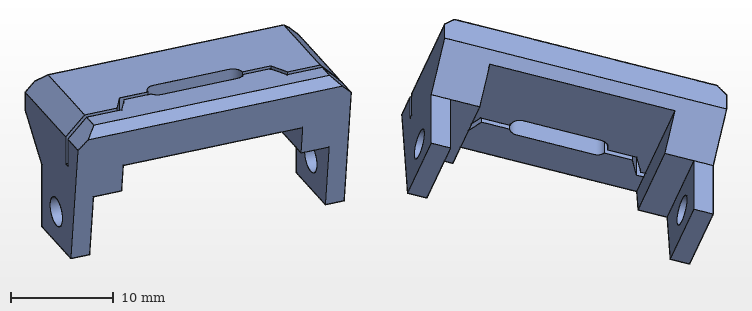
import cadquery as cq
import math

length = 29.0
width = 12.93
height = 14.88

edge_chamfer = 1.0
end_chamfer = 2.0
left_face_bottom = height - 4.0
ear_left = 4.0
ear_right = 11.08
ear_top = left_face_bottom - ear_left

plate_thickness = 5.0
block_length = 5.0
ear_thickness = 2.0
hole_diameter = 3.0
hole_x = (ear_left + ear_right) / 2
hole_z = 3.42

slot_width = 2.0
slot_length = 10.0
slot_x = 8.05
slit_width = 0.5
slit_inner_left = slot_x
slit_outer_left = 9.83
jog_start = 5.45
jog_angle = math.radians(30)


def make_body():
    """Extrude the side profile along the full length."""
    corner_z = height - edge_chamfer
    taper = (width - ear_right) / corner_z
    top_right = width + taper * edge_chamfer - edge_chamfer
    profile = [
        (ear_left, 0),
        (ear_right, 0),
        (width, corner_z),
        (top_right, height),
        (edge_chamfer, height),
        (0, corner_z),
        (0, left_face_bottom),
        (ear_left, ear_top),
    ]
    return cq.Workplane("XZ").polyline(profile).close().extrude(length / 2, both=True)


def make_side_outline():
    """Prism along X with sloped top ends, end blocks and thin ears."""
    end = length / 2
    block_y = end - block_length
    ear_y = end - ear_thickness
    plate_bottom = height - plate_thickness
    half_outline = [
        (end - end_chamfer, height),
        (end, height - end_chamfer),
        (end, 0),
        (ear_y, 0),
        (ear_y, ear_top),
        (block_y, ear_top),
        (block_y, plate_bottom),
    ]
    mirrored = [(-y, z) for y, z in reversed(half_outline)]
    return cq.Workplane("YZ").polyline(half_outline + mirrored).close().extrude(width)


def make_pin_hole():
    """Hole through both ears."""
    hole = cq.Workplane("XZ").center(hole_x, hole_z).circle(hole_diameter / 2)
    return hole.extrude(length / 2, both=True)


def make_slot():
    """Round-ended slot through the plate."""
    slot = cq.Workplane("XY").workplane(offset=height - plate_thickness).center(slot_x, 0)
    return slot.slot2D(slot_length, slot_width, 90).extrude(plate_thickness)


def make_slit():
    """Jogged slit of constant width from the slot to the +Y end."""
    end = length / 2
    outer_y = end - jog_start
    inner_y = outer_y - (slit_outer_left - slit_inner_left) * math.tan(jog_angle)
    corner_shift = slit_width * (1 / math.cos(jog_angle) - math.tan(jog_angle))
    slit_inner_right = slit_inner_left + slit_width
    slit_outer_right = slit_outer_left + slit_width
    outline = [
        (slit_inner_left, 0),
        (slit_inner_left, inner_y),
        (slit_outer_left, outer_y),
        (slit_outer_left, end),
        (slit_outer_right, end),
        (slit_outer_right, outer_y - corner_shift),
        (slit_inner_right, inner_y - corner_shift),
        (slit_inner_right, 0),
    ]
    slit = cq.Workplane("XY").workplane(offset=height - plate_thickness)
    return slit.polyline(outline).close().extrude(plate_thickness)


slit = make_slit()
result = make_body().intersect(make_side_outline())
result = result.cut(make_pin_hole()).cut(make_slot())
result = result.cut(slit).cut(slit.mirror("XZ"))